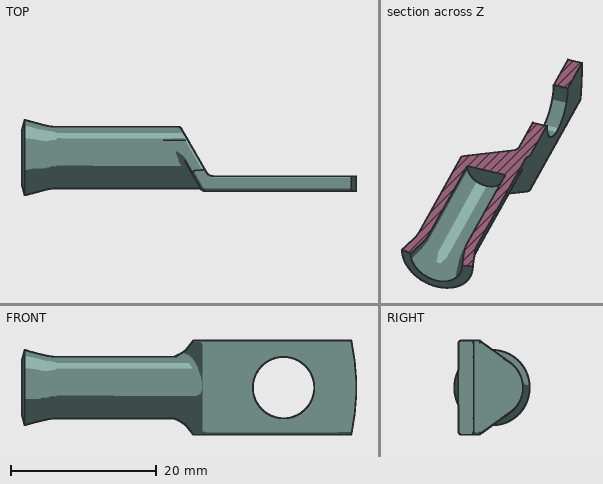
import cadquery as cq
import math

overall_length = 45.93
barrel_radius = 4.25
wall = 1.5
bore_depth = 20.0

rim_radius = 5.2
flare_angle = math.radians(15)
flare_blend_radius = 6.5

tongue_half_width = 6.5
tongue_bottom = -4.62
tongue_thickness = 2.1
end_radius = 30.0
hole_diameter = 8.4
hole_to_end = 10.0

web_angle = math.radians(60)
web_thickness = 1.8
slope_start_x = 21.75
shoulder_y = -1.75

bend_inner_radius = 1.0
bend_outer_radius = 0.75
edge_radius = 0.5
root_radius = 0.85

tip_trim = 0.02

bore_radius = barrel_radius - wall
tongue_top = tongue_bottom + tongue_thickness
web_run = web_thickness / math.sin(web_angle)
mouth_radius = rim_radius - wall * math.cos(flare_angle)
clearance = 2 * barrel_radius
stub_start_x = slope_start_x - clearance
tolerance = 0.01


def slope_x(y):
    """X of the web's upper sloping face at height y."""
    return slope_start_x + (barrel_radius - y) / math.tan(web_angle)


def web_back_x(y):
    """X of the web's lower sloping face, on the barrel side, at height y."""
    return slope_x(y) - web_run


def flare_blend_point(radius, angle):
    """Point (x, r) on an arc about the common centre of the inner and outer flare blends."""
    outer_sin = flare_blend_radius * math.sin(flare_angle)
    outer_rise = flare_blend_radius * (1 - math.cos(flare_angle))
    cone_length = (rim_radius - barrel_radius - outer_rise) / math.tan(flare_angle)
    center_x = wall * math.sin(flare_angle) + cone_length + outer_sin
    center_r = barrel_radius + flare_blend_radius
    return (center_x - radius * math.sin(angle), center_r - radius * math.cos(angle))


def revolve_flared(start, blend_radius, straight_radius, end_x):
    """Revolve a profile: mouth, flare cone, tangent blend, then a straight run to end_x."""
    return (
        start
        .lineTo(*flare_blend_point(blend_radius, flare_angle))
        .threePointArc(
            flare_blend_point(blend_radius, flare_angle / 2),
            flare_blend_point(blend_radius, 0),
        )
        .lineTo(end_x, straight_radius)
        .lineTo(end_x, 0)
        .close()
        .revolve(360, (0, 0, 0), (1, 0, 0))
    )


def extrude_across(points):
    """Extrude an XY outline over the full tongue width."""
    return cq.Workplane("XY").polyline(points).close().extrude(tongue_half_width, both=True)


def edges_where(body, test):
    """Edges of a body whose centre passes the test."""
    return [edge for edge in body.val().Edges() if test(edge.Center())]


def round_edges(body, radius, edges):
    return cq.Workplane(obj=body.val().fillet(radius, edges))


def trim_to_slope(body):
    """Remove everything beyond the upper sloping face and above the tongue."""
    return body.cut(extrude_across([
        (slope_x(clearance), clearance),
        (slope_x(tongue_top), tongue_top),
        (overall_length, tongue_top),
        (overall_length, clearance),
    ]))


def make_barrel():
    """Flared barrel without its bore, cut off along the slope."""
    start = (
        cq.Workplane("XY")
        .lineTo(0, mouth_radius)
        .lineTo(wall * math.sin(flare_angle), rim_radius)
    )
    end_x = slope_x(-barrel_radius)
    return trim_to_slope(revolve_flared(start, flare_blend_radius, barrel_radius, end_x))


def make_bore():
    """Blind bore whose mouth keeps the wall thickness constant through the flare."""
    start = cq.Workplane("XY").lineTo(0, mouth_radius)
    return revolve_flared(start, flare_blend_radius + wall, bore_radius, bore_depth)


def make_bent_strip():
    """Full-width strip of web and tongue with both sides of the bend rounded."""
    strip = extrude_across([
        (slope_x(clearance), clearance),
        (slope_x(tongue_top), tongue_top),
        (overall_length, tongue_top),
        (overall_length, tongue_bottom),
        (web_back_x(tongue_bottom), tongue_bottom),
        (web_back_x(clearance), clearance),
    ])
    bends = (
        (web_back_x(tongue_bottom), tongue_bottom, bend_outer_radius),
        (slope_x(tongue_top), tongue_top, bend_inner_radius),
    )
    for x, y, radius in bends:
        corner = cq.Vector(x, y, 0)
        edges = edges_where(strip, lambda center: (center - corner).Length < tolerance)
        strip = round_edges(strip, radius, edges)
    return strip


def make_web_and_tongue():
    """Strip with a stub of barrel in it and the root between the two blended."""
    stub_length = slope_x(-barrel_radius) - stub_start_x
    stub = cq.Workplane("YZ", origin=(stub_start_x, 0, 0)).circle(barrel_radius).extrude(stub_length)
    joined = trim_to_slope(stub).union(make_bent_strip())
    root = [
        edge for edge in joined.val().Edges()
        if edge.geomType() == "ELLIPSE" and abs(edge.Center().x - web_back_x(edge.Center().y)) < tolerance
    ]
    return round_edges(joined, root_radius, root)


def make_taper_section(trim):
    """Solid whose YZ outline runs from the tongue sides to tangency with the barrel."""
    shoulder_distance = math.hypot(shoulder_y, tongue_half_width)
    shoulder_angle = math.atan2(shoulder_y, tongue_half_width)
    tangent_angle = shoulder_angle + math.acos(barrel_radius / shoulder_distance)
    tangent_y = barrel_radius * math.sin(tangent_angle)
    tangent_z = barrel_radius * math.cos(tangent_angle)
    tip_y = tangent_y + trim * (shoulder_y - tangent_y)
    tip_z = tangent_z + trim * (tongue_half_width - tangent_z)
    return (
        cq.Workplane("YZ", origin=(stub_start_x, 0, 0))
        .polyline([
            (tip_y, -tip_z),
            (shoulder_y, -tongue_half_width),
            (tongue_bottom, -tongue_half_width),
            (tongue_bottom, tongue_half_width),
            (shoulder_y, tongue_half_width),
            (tip_y, tip_z),
        ])
        .close()
        .extrude(overall_length)
    )


def make_end_disc():
    """Disc that gives the tongue its shallow curved end."""
    return (
        cq.Workplane("XZ", origin=(overall_length - end_radius, 0, 0))
        .circle(end_radius)
        .extrude(clearance, both=True)
    )


def make_lug(barrel, web, trim):
    """Solid lug with sharp outer edges."""
    tapered = web.intersect(make_taper_section(trim)).intersect(make_end_disc())
    lug = barrel.union(tapered).clean()
    return cq.Workplane(obj=lug.val().Solids()[0])


def is_side_edge(center):
    """True on the long outline edges at +Z and -Z, away from the tongue end."""
    end_corner_x = overall_length - end_radius + math.sqrt(end_radius**2 - tongue_half_width**2)
    return abs(center.z) > barrel_radius and center.x < end_corner_x - tolerance


def near_outline(center, slope, flat_y, bend_radius):
    """True on one bent outline: its slope, its flat, or the rounded bend between them."""
    on_slope = abs(center.x - slope(center.y)) < tolerance
    on_flat = abs(center.y - flat_y) < tolerance
    bend_distance = math.hypot(center.x - slope(flat_y), center.y - flat_y)
    return on_slope or on_flat or bend_distance < bend_radius / 2


def is_lower_edge(center):
    return is_side_edge(center) and near_outline(center, web_back_x, tongue_bottom, bend_outer_radius)


def is_upper_edge(center):
    return is_side_edge(center) and near_outline(center, slope_x, tongue_top, bend_inner_radius)


def make_rounded_lug():
    """Lug rounded along both sides: the common part of two lugs, each rounded on one side."""
    barrel = make_barrel()
    web = make_web_and_tongue()
    lower = make_lug(barrel, web, tip_trim)
    lower = round_edges(lower, edge_radius, edges_where(lower, is_lower_edge))
    upper = make_lug(barrel, web, 0)
    upper = round_edges(upper, edge_radius, edges_where(upper, is_upper_edge))
    return lower.intersect(upper)


def make_hole():
    """Bolt hole through the tongue."""
    return (
        cq.Workplane("XZ", origin=(overall_length - hole_to_end, 0, 0))
        .circle(hole_diameter / 2)
        .extrude(clearance, both=True)
    )


lug = make_rounded_lug().cut(make_hole()).cut(make_bore())
result = cq.Workplane(obj=lug.val().Solids()[0])